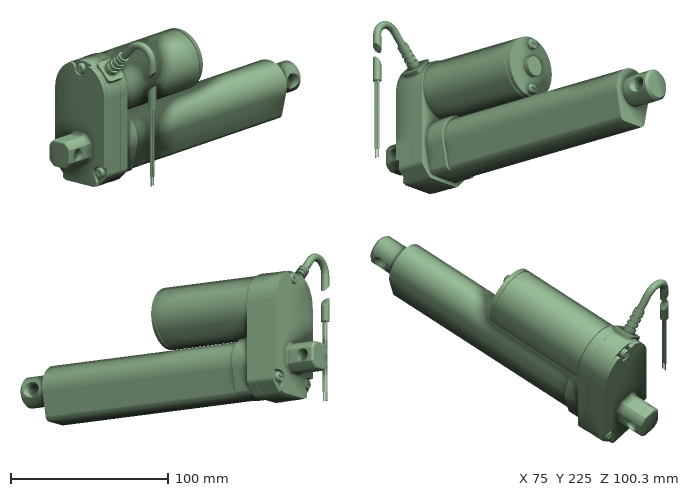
import cadquery as cq
import math


COVER_DEPTH = 2.7
FLANGE_FRONT = 16.0
GEARBOX_BACK = 22.3
SOCKET_BACK = 36.5
TUBE_END = 183.8
ROD_END = 205.0
CLEVIS_LENGTH = 20.0

MOTOR_Z = 36.5
GEARBOX_RADIUS = 21.0
GEARBOX_BOTTOM = -24.3
BOTTOM_CHAMFER = 7.9
CORNER_FILLET = 4.5
SHELL_INSET = 0.14
COVER_INSET = 0.34

SCREW_DIAMETER = 7.0
SCREW_TIP_DIAMETER = 5.5
SCREW_NECK_DIAMETER = 6.8
SCREW_NECK_HEIGHT = 1.0
SCREW_RIM_HEIGHT = 1.4
SCREW_HEIGHT = 2.7
CROSS_LENGTH = 3.5
CROSS_WIDTH = 1.0
CROSS_DEPTH = 1.1
POCKET_RADIUS = 4.3
TOP_SCREW_Z = 52.5
TOP_POCKET_BEND_X = 5.5
TOP_POCKET_BEND_Z = 54.7
TOP_POCKET_EDGE_X = 8.0
TOP_POCKET_EDGE_Z = 55.1
SIDE_SCREW_X = 15.8
SIDE_SCREW_Z = -14.0
SIDE_POCKET_EDGE_X = 14.0
SIDE_POCKET_EDGE_Z = -20.5
SIDE_POCKET_BEND_X = 12.2
SIDE_POCKET_BEND_Z = -16.5

MOTOR_DIAMETER = 40.0
MOTOR_GROOVE_DIAMETER = 39.0
MOTOR_FRONT = 23.5
MOTOR_BACK = 96.8
MOTOR_GROOVE_START = 93.2
MOTOR_GROOVE_WIDTH = 0.7
BOSS_DIAMETER = 12.8
BOSS_LENGTH = 3.4
MOTOR_SCREW_OFFSET = 15.0

TUBE_RADIUS = 15.3
SOCKET_RADIUS = 17.3
TUBE_BOTTOM = -21.8
FLANK_ANGLE = math.radians(13)
TUBE_FILLET = 3.5

ROD_DIAMETER = 20.0
ROD_CHAMFER = 1.5
ROD_SEAT_DEPTH = 11.7
PIN_DIAMETER = 8.0
ROD_PIN_FROM_END = 9.0
COUNTERSINK_DIAMETER = 11.7
COUNTERSINK_DEPTH = 2.7
CLEVIS_WIDTH = 18.0
CLEVIS_DIAMETER = 20.0
CLEVIS_END_FILLET = 1.5
CLEVIS_ROOT_FILLET = 1.8
CLEVIS_PIN_FROM_FACE = 12.2

CABLE_Y = 11.2
CABLE_DIAMETER = 5.0
SHEATH_DIAMETER = 5.5
CABLE_DROP_X = 51.3
CABLE_TOP_Z = 76.0
BEND_RADIUS = 10.0
CABLE_STRAIGHT = 10.0
GROMMET_LENGTH = 16.5
GROMMET_BASE_DIAMETER = 8.0
GROMMET_TIP_DIAMETER = 7.0
GROMMET_NECK_DIAMETER = 5.8
GROMMET_GROOVE_COUNT = 3
GROMMET_GROOVE_PITCH = 3.5
GROMMET_GROOVE_WIDTH = 1.5
COLLAR_GROOVE_START = 14.2
COLLAR_GROOVE_WIDTH = 0.5
PAD_WIDTH = 14.8
PAD_THICKNESS = 3.5
PAD_CORNER = 2.7
PAD_FRONT = 4.7

BREAK_UPPER_Z = 55.8
BREAK_LOWER_Z = 46.5
TAIL_SHEATH_BOTTOM = 33.8
INSULATION_BOTTOM = -12.0
WIRE_BOTTOM = -17.8
WIRE_DIAMETER = 1.5
CORE_DIAMETER = 1.0
WIRE_SPACING = 2.0


def xz_plane(y):
    """Sketch plane at a given Y, with local x = X, local y = Z and its normal along -Y."""
    return cq.Workplane("XZ", origin=(0, y, 0))


def cylinder_y(diameter, start, end, x=0, z=0):
    return xz_plane(start).center(x, z).circle(diameter / 2).extrude(start - end)


def gearbox_outline(start, end, inset=0):
    """Round-topped plate with two chamfered, rounded bottom corners, drawn in by an inset all round."""
    radius = GEARBOX_RADIUS - inset
    bottom = GEARBOX_BOTTOM + inset
    block = (
        xz_plane(start)
        .moveTo(-radius, bottom + BOTTOM_CHAMFER)
        .lineTo(-radius, MOTOR_Z)
        .threePointArc((0, MOTOR_Z + radius), (radius, MOTOR_Z))
        .lineTo(radius, bottom + BOTTOM_CHAMFER)
        .lineTo(radius - BOTTOM_CHAMFER, bottom)
        .lineTo(BOTTOM_CHAMFER - radius, bottom)
        .close()
        .extrude(start - end)
    )
    bottom_corners = cq.selectors.BoxSelector(
        (-2 * radius, start, 2 * bottom),
        (2 * radius, end, 0),
    )
    return block.edges("|Y").edges(bottom_corners).fillet(CORNER_FILLET)


def screw_pocket(x, z, outline):
    """Clearance around one screw, open to the rim of the cover along the given outline."""
    round_part = cylinder_y(2 * POCKET_RADIUS, 0, COVER_DEPTH, x, z)
    return round_part.union(xz_plane(0).polyline(outline).close().extrude(-COVER_DEPTH))


def side_pocket(side):
    outline = [
        (side * SIDE_SCREW_X, SIDE_SCREW_Z + POCKET_RADIUS),
        (side * 2 * GEARBOX_RADIUS, SIDE_SCREW_Z + POCKET_RADIUS),
        (side * 2 * GEARBOX_RADIUS, 2 * GEARBOX_BOTTOM),
        (side * SIDE_POCKET_EDGE_X, 2 * GEARBOX_BOTTOM),
        (side * SIDE_POCKET_EDGE_X, SIDE_POCKET_EDGE_Z),
        (side * SIDE_POCKET_BEND_X, SIDE_POCKET_BEND_Z),
    ]
    return screw_pocket(side * SIDE_SCREW_X, SIDE_SCREW_Z, outline)


def top_pocket():
    flare = [
        (POCKET_RADIUS, TOP_SCREW_Z),
        (TOP_POCKET_BEND_X, TOP_POCKET_BEND_Z),
        (TOP_POCKET_EDGE_X, TOP_POCKET_EDGE_Z),
        (TOP_POCKET_EDGE_X, TOP_SCREW_Z + 2 * POCKET_RADIUS),
    ]
    mirrored = [(-x, z) for x, z in reversed(flare)]
    return screw_pocket(0, TOP_SCREW_Z, flare + mirrored)


def screw_head(x, y, z, direction):
    """Cross-recessed head standing on the face at y; direction is +1 or -1 along Y."""
    profile = [
        (0, 0),
        (SCREW_NECK_DIAMETER / 2, 0),
        (SCREW_NECK_DIAMETER / 2, SCREW_NECK_HEIGHT),
        (SCREW_DIAMETER / 2, SCREW_NECK_HEIGHT),
        (SCREW_DIAMETER / 2, SCREW_RIM_HEIGHT),
        (SCREW_TIP_DIAMETER / 2, SCREW_HEIGHT),
        (0, SCREW_HEIGHT),
    ]
    head = cq.Workplane("XY").polyline(profile).close().revolve(360, (0, 0), (0, 1))
    recess_y = SCREW_HEIGHT - CROSS_DEPTH / 2
    for length_x, length_z in [(CROSS_LENGTH, CROSS_WIDTH), (CROSS_WIDTH, CROSS_LENGTH)]:
        slot = cq.Workplane("XY").box(length_x, CROSS_DEPTH, length_z)
        head = head.cut(slot.translate((0, recess_y, 0)))
    if direction < 0:
        head = head.mirror("XZ")
    return head.translate((x, y, z))


def gearbox():
    cover = gearbox_outline(0, COVER_DEPTH, COVER_INSET).cut(top_pocket())
    shell = gearbox_outline(COVER_DEPTH, FLANGE_FRONT, SHELL_INSET)
    flange = gearbox_outline(FLANGE_FRONT, GEARBOX_BACK)
    for side in (-1, 1):
        cover = cover.cut(side_pocket(side))
    body = cover.union(shell).union(flange)
    for x, z in [(0, TOP_SCREW_Z), (-SIDE_SCREW_X, SIDE_SCREW_Z), (SIDE_SCREW_X, SIDE_SCREW_Z)]:
        body = body.union(screw_head(x, COVER_DEPTH, z, -1))
    return body


def clevis():
    """Round bar with four flats, a rounded end and a flared root, cross-drilled along X."""
    bar = cylinder_y(CLEVIS_DIAMETER, -CLEVIS_LENGTH, 0)
    bar = bar.intersect(xz_plane(-CLEVIS_LENGTH).rect(CLEVIS_WIDTH, CLEVIS_WIDTH).extrude(-CLEVIS_LENGTH))
    bar = bar.faces("<Y").edges().fillet(CLEVIS_END_FILLET)
    plate = xz_plane(0).rect(2 * CLEVIS_WIDTH, 2 * CLEVIS_WIDTH).extrude(-COVER_DEPTH)
    root_edges = cq.selectors.BoxSelector(
        (-CLEVIS_DIAMETER / 2, -COVER_DEPTH / 2, -CLEVIS_DIAMETER / 2),
        (CLEVIS_DIAMETER / 2, COVER_DEPTH / 2, CLEVIS_DIAMETER / 2),
    )
    bar = bar.union(plate).edges(root_edges).fillet(CLEVIS_ROOT_FILLET).cut(plate)
    pin_hole = (
        cq.Workplane("YZ")
        .center(-CLEVIS_PIN_FROM_FACE, 0)
        .circle(PIN_DIAMETER / 2)
        .extrude(CLEVIS_WIDTH, both=True)
    )
    return bar.cut(pin_hole)


def motor():
    body = cylinder_y(MOTOR_DIAMETER, MOTOR_FRONT, MOTOR_BACK, z=MOTOR_Z)
    groove_end = MOTOR_GROOVE_START + MOTOR_GROOVE_WIDTH
    groove = cylinder_y(2 * MOTOR_DIAMETER, MOTOR_GROOVE_START, groove_end, z=MOTOR_Z)
    groove = groove.cut(cylinder_y(MOTOR_GROOVE_DIAMETER, MOTOR_GROOVE_START, groove_end, z=MOTOR_Z))
    body = body.cut(groove)
    body = body.union(cylinder_y(MOTOR_GROOVE_DIAMETER, GEARBOX_BACK, MOTOR_FRONT, z=MOTOR_Z))
    body = body.union(cylinder_y(BOSS_DIAMETER, MOTOR_BACK, MOTOR_BACK + BOSS_LENGTH, z=MOTOR_Z))
    for side in (-1, 1):
        body = body.union(screw_head(0, MOTOR_BACK, MOTOR_Z + side * MOTOR_SCREW_OFFSET, 1))
    return body


def teardrop_bar(radius, start, end):
    """Round top with tangent flanks that lean inwards to a flat, rounded bottom."""
    tangent_x = radius * math.cos(FLANK_ANGLE)
    tangent_z = -radius * math.sin(FLANK_ANGLE)
    bottom_x = tangent_x - (tangent_z - TUBE_BOTTOM) * math.tan(FLANK_ANGLE)
    bar = (
        xz_plane(start)
        .moveTo(-tangent_x, tangent_z)
        .threePointArc((0, radius), (tangent_x, tangent_z))
        .lineTo(bottom_x, TUBE_BOTTOM)
        .lineTo(-bottom_x, TUBE_BOTTOM)
        .close()
        .extrude(start - end)
    )
    return bar.faces("<Z").edges("|Y").fillet(TUBE_FILLET)


def tube():
    bar = teardrop_bar(TUBE_RADIUS, GEARBOX_BACK, TUBE_END)
    bar = bar.union(teardrop_bar(SOCKET_RADIUS, GEARBOX_BACK, SOCKET_BACK))
    return bar.cut(cylinder_y(ROD_DIAMETER, TUBE_END - ROD_SEAT_DEPTH, TUBE_END))


def make_housing():
    return gearbox().union(clevis()).union(motor()).union(tube())


def make_rod():
    rod = cylinder_y(ROD_DIAMETER, TUBE_END - ROD_SEAT_DEPTH, ROD_END)
    rod = rod.faces(">Y").chamfer(ROD_CHAMFER)
    surface = ROD_DIAMETER / 2
    seat = surface - COUNTERSINK_DEPTH
    profile = [
        (-surface, 0),
        (-surface, COUNTERSINK_DIAMETER / 2),
        (-seat, PIN_DIAMETER / 2),
        (seat, PIN_DIAMETER / 2),
        (surface, COUNTERSINK_DIAMETER / 2),
        (surface, 0),
    ]
    pin_hole = cq.Workplane("XY").polyline(profile).close().revolve(360, (0, 0), (1, 0))
    return rod.cut(pin_hole.translate((0, ROD_END - ROD_PIN_FROM_END, 0)))


BEND_X = CABLE_DROP_X - BEND_RADIUS
BEND_Z = CABLE_TOP_Z - CABLE_DIAMETER / 2 - BEND_RADIUS
SLOPE = math.sqrt(0.5)


def sheath(bottom, top):
    return (
        cq.Workplane("XY", origin=(CABLE_DROP_X, CABLE_Y, bottom))
        .circle(SHEATH_DIAMETER / 2)
        .extrude(top - bottom)
    )


def below_break(z):
    """Everything below the 45 degree cut plane that crosses the drop of the cable at height z."""
    reach = 2 * SHEATH_DIAMETER
    corners = [
        (CABLE_DROP_X - reach, z - reach),
        (CABLE_DROP_X + reach, z + reach),
        (CABLE_DROP_X + reach, WIRE_BOTTOM - reach),
        (CABLE_DROP_X - reach, WIRE_BOTTOM - reach),
    ]
    return xz_plane(CABLE_Y - reach).polyline(corners).close().extrude(-2 * reach)


def cable_point(distance):
    """Point on the sloping cable axis, at a distance before the start of the bend."""
    return (
        BEND_X - (BEND_RADIUS + distance) * SLOPE,
        CABLE_Y,
        BEND_Z + (BEND_RADIUS - distance) * SLOPE,
    )


def slope_plane(distance):
    """Plane across the sloping cable: normal up along the cable, local y along +Y."""
    plane = cq.Plane(origin=cable_point(distance), xDir=(SLOPE, 0, -SLOPE), normal=(SLOPE, 0, SLOPE))
    return cq.Workplane(plane)


def grommet(housing):
    """Tapered, grooved sleeve on a square pad that fits the round top of the gearbox."""
    length_to_pad = CABLE_STRAIGHT + GROMMET_LENGTH
    taper = math.degrees(math.atan((GROMMET_BASE_DIAMETER - GROMMET_TIP_DIAMETER) / 2 / GROMMET_LENGTH))
    body = slope_plane(length_to_pad).circle(GROMMET_BASE_DIAMETER / 2).extrude(GROMMET_LENGTH, taper=taper)
    grooves = [((i + 1) * GROMMET_GROOVE_PITCH, GROMMET_GROOVE_WIDTH) for i in range(GROMMET_GROOVE_COUNT)]
    grooves.append((COLLAR_GROOVE_START, COLLAR_GROOVE_WIDTH))
    for start, width in grooves:
        groove = (
            slope_plane(length_to_pad - start)
            .circle(GROMMET_BASE_DIAMETER)
            .circle(GROMMET_NECK_DIAMETER / 2)
            .extrude(width)
        )
        body = body.cut(groove)
    pad = (
        slope_plane(length_to_pad)
        .center(0, PAD_FRONT + PAD_WIDTH / 2 - CABLE_Y)
        .rect(PAD_WIDTH, PAD_WIDTH)
        .extrude(-PAD_THICKNESS)
    )
    pad = pad.edges(cq.selectors.ParallelDirSelector(cq.Vector(SLOPE, 0, SLOPE))).fillet(PAD_CORNER)
    return body.union(pad.cut(housing))


def make_cable(housing):
    straight = slope_plane(CABLE_STRAIGHT).circle(CABLE_DIAMETER / 2).extrude(CABLE_STRAIGHT)
    bend_start = cable_point(0)
    path = (
        cq.Workplane("XZ", origin=(0, CABLE_Y, 0))
        .moveTo(bend_start[0], bend_start[2])
        .threePointArc(
            (BEND_X, BEND_Z + BEND_RADIUS),
            (CABLE_DROP_X, BEND_Z),
        )
    )
    bend = slope_plane(0).circle(CABLE_DIAMETER / 2).sweep(path)
    end = sheath(BREAK_UPPER_Z - 2 * SHEATH_DIAMETER, BEND_Z).cut(below_break(BREAK_UPPER_Z))
    return grommet(housing).union(straight).union(bend).union(end)


def make_tail():
    """Cut-off end of the sheath with two insulated wires whose cores are bare at the bottom."""
    tail = sheath(TAIL_SHEATH_BOTTOM, BREAK_LOWER_Z + 2 * SHEATH_DIAMETER)
    tail = tail.intersect(below_break(BREAK_LOWER_Z))
    for side in (-1, 1):
        origin = (CABLE_DROP_X, CABLE_Y + side * WIRE_SPACING / 2, TAIL_SHEATH_BOTTOM)
        wire = cq.Workplane("XY", origin=origin)
        tail = tail.union(wire.circle(WIRE_DIAMETER / 2).extrude(INSULATION_BOTTOM - TAIL_SHEATH_BOTTOM))
        tail = tail.union(wire.circle(CORE_DIAMETER / 2).extrude(WIRE_BOTTOM - TAIL_SHEATH_BOTTOM))
    return tail


housing = make_housing()
rod = make_rod()
cable = make_cable(housing)
tail = make_tail()

result = cq.Compound.makeCompound([body.solids().val() for body in (housing, rod, cable, tail)])